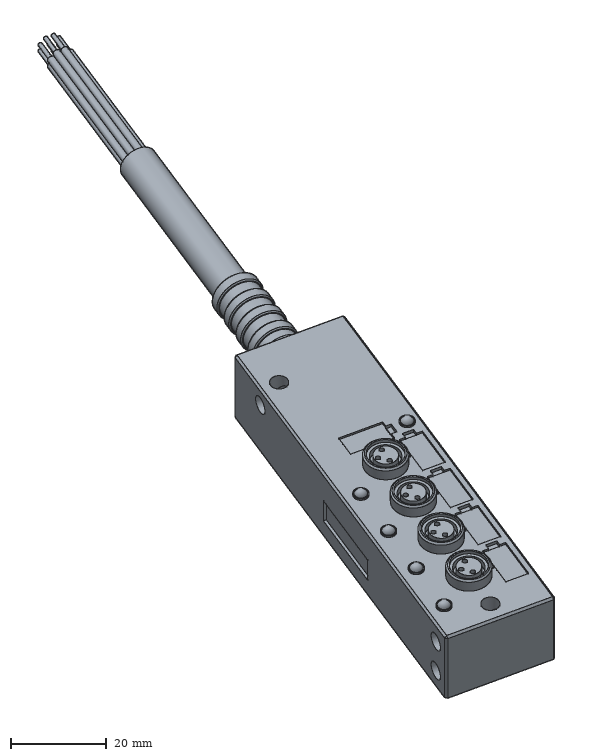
import cadquery as cq
import math

BODY_LENGTH = 95.44
BODY_WIDTH = 26.0
BODY_HEIGHT = 18.0
BODY_EDGE_CHAMFER = 0.5
FRONT_Y = -BODY_WIDTH / 2

TOP_HOLE_DIAMETER = 4.0
TOP_HOLE_CENTRES = [(11.8, -8.5), (90.8, 0.0)]
SIDE_HOLE_DIAMETER = 4.2
SIDE_HOLE_CENTRES = [(11.9, 13.5), (91.0, 13.0), (91.0, 4.5)]

AXIS_Z = BODY_HEIGHT / 2
CABLE_DIAMETER = 8.4
CABLE_END_X = -68.0
BOOT_RING_DIAMETER = 11.0
BOOT_CORE_DIAMETER = 10.0
BOOT_COLLAR_DIAMETER = 11.5
BOOT_COLLAR_LENGTH = 3.0
BOOT_RING_COUNT = 4
BOOT_RING_WIDTH = 2.7
BOOT_RING_PITCH = 5.35
BOOT_RING_CHAMFER = 0.3
WIRE_DIAMETER = 1.75
WIRE_CIRCLE_RADIUS = 2.37
WIRE_END_X = -103.0
STRAND_DIAMETER = 1.0
STRAND_END_X = -108.0
OUTER_WIRE_COUNT = 8

SOCKET_COUNT = 4
SOCKET_PITCH = 12.5
FIRST_SOCKET_X = 43.6
SOCKET_DIAMETER = 9.7
SOCKET_HEIGHT = 3.0
SOCKET_RIM_CHAMFER = 0.4
SOCKET_MOUTH_DIAMETER = 8.2
SOCKET_MOUTH_DEPTH = 0.8
SOCKET_BORE_DIAMETER = 6.8
SOCKET_BORE_DEPTH = 2.5
INSERT_DIAMETER = 5.4
INSERT_HEIGHT = 2.0
CONTACT_DIAMETER = 1.1
CONTACT_DEPTH = INSERT_HEIGHT
CONTACT_CIRCLE_RADIUS = 1.8
CONTACT_ANGLES = (0, 180, 270)
KEY_WIDTH = 1.2
KEY_HEIGHT = 0.3
KEY_REACH = 5.6

LAMP_RADIUS = 1.5
LAMP_RIM_RADIUS = 1.7
LAMP_RIM_HEIGHT = 0.4
LAMP_SOCKET_OFFSET_X = 5.8
LAMP_Y = -8.9
POWER_LAMP_CENTRE = (34.7, 9.75)

LABEL_LENGTH = 10.4
LABEL_WIDTH = 5.4
LABEL_DEPTH = 0.5
LABEL_TAB_LENGTH = 1.3
LABEL_TAB_WIDTH = 2.6
LABEL_TAB_DEPTH = 0.8
LABEL_SOCKET_OFFSET_X = 0.2
LABEL_Y = 8.6
POWER_LABEL_CENTRE = (35.0, 0.0)

SIDE_LABEL_LENGTH = 20.0
SIDE_LABEL_HEIGHT = 5.9
SIDE_LABEL_DEPTH = 0.7
SIDE_LABEL_CENTRE = (50.3, 7.2)


def rod(diameter, x_start, x_end, y=0.0, z=AXIS_Z):
    """Cylinder along X between two stations."""
    plane = cq.Workplane("YZ", origin=(x_start, y, z))
    return plane.circle(diameter / 2).extrude(x_end - x_start)


def make_body():
    """Chamfered block with its mounting holes and the label recess on its -Y side."""
    block = cq.Workplane("XY").box(BODY_LENGTH, BODY_WIDTH, BODY_HEIGHT, centered=(False, True, False))
    block = block.edges("|Z or >Z").chamfer(BODY_EDGE_CHAMFER)
    top_holes = (
        cq.Workplane("XY")
        .pushPoints(TOP_HOLE_CENTRES)
        .circle(TOP_HOLE_DIAMETER / 2)
        .extrude(BODY_HEIGHT)
    )
    side_holes = (
        cq.Workplane("XZ", origin=(0, FRONT_Y, 0))
        .pushPoints(SIDE_HOLE_CENTRES)
        .circle(SIDE_HOLE_DIAMETER / 2)
        .extrude(-BODY_WIDTH)
    )
    side_label = (
        cq.Workplane("XZ", origin=(0, FRONT_Y, 0))
        .center(*SIDE_LABEL_CENTRE)
        .rect(SIDE_LABEL_LENGTH, SIDE_LABEL_HEIGHT)
        .extrude(-SIDE_LABEL_DEPTH)
    )
    return block.cut(top_holes).cut(side_holes).cut(side_label)


def label_recess(centre, turn=0):
    """Cutter for a label recess with a finger tab at its -X end, turned about its centre."""
    tab_x = -(LABEL_LENGTH + LABEL_TAB_LENGTH) / 2
    plate = cq.Workplane("XY").rect(LABEL_LENGTH, LABEL_WIDTH).extrude(-LABEL_DEPTH)
    tab = cq.Workplane("XY").center(tab_x, 0).rect(LABEL_TAB_LENGTH, LABEL_TAB_WIDTH)
    tab = tab.extrude(-LABEL_TAB_DEPTH)
    cutter = plate.union(tab).rotate((0, 0, 0), (0, 0, 1), turn)
    return cutter.translate((*centre, BODY_HEIGHT))


def make_lamp(centre):
    """Domed lamp standing half out of the top face, with a thin rim at its foot."""
    dome = cq.Workplane("XY").sphere(LAMP_RADIUS)
    rim = cq.Workplane("XY").circle(LAMP_RIM_RADIUS).extrude(LAMP_RIM_HEIGHT)
    return dome.union(rim).translate((*centre, BODY_HEIGHT))


def make_socket(x):
    """Round socket with a bore, a contact insert and a key mark on its +Y side."""
    top = cq.Workplane("XY", origin=(x, 0, BODY_HEIGHT))
    shell = top.circle(SOCKET_DIAMETER / 2).extrude(SOCKET_HEIGHT)
    shell = shell.faces(">Z").chamfer(SOCKET_RIM_CHAMFER)
    bore_floor = top.workplane(offset=SOCKET_HEIGHT - SOCKET_BORE_DEPTH)
    bore = bore_floor.circle(SOCKET_BORE_DIAMETER / 2).extrude(SOCKET_BORE_DEPTH)
    mouth = top.workplane(offset=SOCKET_HEIGHT).circle(SOCKET_MOUTH_DIAMETER / 2).extrude(-SOCKET_MOUTH_DEPTH)
    insert = bore_floor.circle(INSERT_DIAMETER / 2).extrude(INSERT_HEIGHT)
    contact_points = [
        (
            CONTACT_CIRCLE_RADIUS * math.cos(math.radians(angle)),
            CONTACT_CIRCLE_RADIUS * math.sin(math.radians(angle)),
        )
        for angle in CONTACT_ANGLES
    ]
    contacts = (
        bore_floor.workplane(offset=INSERT_HEIGHT)
        .pushPoints(contact_points)
        .circle(CONTACT_DIAMETER / 2)
        .extrude(-CONTACT_DEPTH)
    )
    key = top.center(0, KEY_REACH / 2).rect(KEY_WIDTH, KEY_REACH).extrude(KEY_HEIGHT)
    return shell.union(key).cut(bore).cut(mouth).union(insert).cut(contacts)


def make_boot():
    """Ringed strain relief ending in a collar against the housing."""
    start_x = -BOOT_COLLAR_LENGTH - BOOT_RING_COUNT * BOOT_RING_PITCH
    boot = rod(BOOT_CORE_DIAMETER, start_x, 0)
    for index in range(BOOT_RING_COUNT):
        ring_x = start_x + index * BOOT_RING_PITCH
        ring = rod(BOOT_RING_DIAMETER, ring_x, ring_x + BOOT_RING_WIDTH)
        boot = boot.union(ring.edges("%CIRCLE").chamfer(BOOT_RING_CHAMFER))
    return boot.union(rod(BOOT_COLLAR_DIAMETER, -BOOT_COLLAR_LENGTH, 0))


def make_wires():
    """One central wire and a ring of wires around it, each with a bare strand at its end."""
    centres = [(0.0, 0.0)]
    for index in range(OUTER_WIRE_COUNT):
        angle = 2 * math.pi * (index + 0.5) / OUTER_WIRE_COUNT
        centres.append((WIRE_CIRCLE_RADIUS * math.cos(angle), WIRE_CIRCLE_RADIUS * math.sin(angle)))
    wires = cq.Workplane("XY")
    for y, dz in centres:
        wires = wires.union(rod(WIRE_DIAMETER, WIRE_END_X, CABLE_END_X, y, AXIS_Z + dz))
        wires = wires.union(rod(STRAND_DIAMETER, STRAND_END_X, WIRE_END_X, y, AXIS_Z + dz))
    return wires


result = make_body()
result = result.cut(label_recess(POWER_LABEL_CENTRE, turn=-90))
for socket_index in range(SOCKET_COUNT):
    socket_x = FIRST_SOCKET_X + socket_index * SOCKET_PITCH
    result = result.cut(label_recess((socket_x + LABEL_SOCKET_OFFSET_X, LABEL_Y)))
    result = result.union(make_socket(socket_x))
    result = result.union(make_lamp((socket_x + LAMP_SOCKET_OFFSET_X, LAMP_Y)))
result = result.union(make_lamp(POWER_LAMP_CENTRE))
result = result.union(make_boot())
result = result.union(rod(CABLE_DIAMETER, CABLE_END_X, 0))
result = result.union(make_wires())